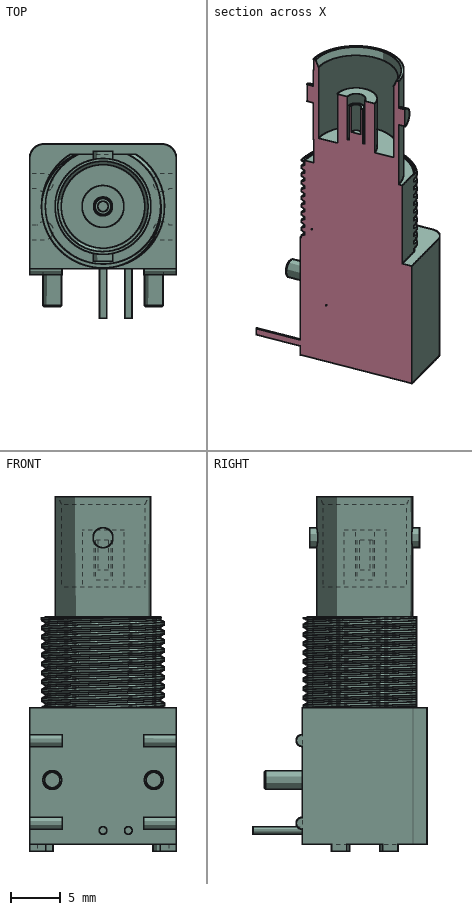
import cadquery as cq
import math


overall_depth = 17.46

housing_width = 14.7
housing_depth = 12.52
housing_height = 13.7
housing_corner_radius = 1.45
front_y = -housing_depth / 2

thread_length = 9.1
thread_core_radius = 5.77
thread_outer_radius = 6.16
thread_pitch = 0.9
thread_root_width = 0.7
thread_crest_width = 0.26
thread_root_overlap = 0.1
thread_phase = 0.32
thread_top_relief = 0.1
neck_flat_y = 5.2
neck_top = housing_height + thread_length

barrel_radius = 4.8
barrel_length = 12.0
barrel_top = neck_top + barrel_length
bore_radius = 4.18
bore_depth = 9.0
lead_in_radius = 4.52
lead_in_depth = 0.75

lug_diameter = 2.0
lug_span = 11.0
lug_below_rim = 4.1

insulator_radius = 2.1
insulator_below_rim = 3.3
contact_clearance_radius = 0.95
contact_recess = 1.0
contact_radius = 0.8
contact_hole_radius = 0.52
contact_length = 4.0
contact_hole_depth = 3.0

rib_length = 3.25
rib_radius = 0.6
rib_heights = (2.12, 10.4)

peg_diameter = 1.88
peg_length = 3.8
peg_offset = 5.08
peg_height = 6.45
peg_chamfer = 0.17
pin_diameter = 0.76
pin_pitch = 2.54
pin_height = 1.4
pin_length = overall_depth - housing_depth

foot_height = 0.7
foot_radius = 0.92
foot_arm_width = 1.53
foot_arm_length = 1.64
foot_reach = 2.36
foot_offset_y = 2.42


def cylinder_z(radius, bottom, height):
    return cq.Workplane("XY", origin=(0, 0, bottom)).circle(radius).extrude(height)


def rod_from_front(x, z, diameter, length):
    """Round rod standing out of the front face along -Y."""
    face = cq.Workplane("XZ", origin=(x, front_y, z))
    return face.circle(diameter / 2).extrude(length)


def make_housing():
    block = cq.Workplane("XY").rect(housing_width, housing_depth).extrude(housing_height)
    return block.edges("|Z and >Y").fillet(housing_corner_radius)


def make_thread_ridge():
    """Right-hand helical ridge, overrunning the neck at both ends."""
    start_z = housing_height + thread_phase - thread_pitch
    overrun_turns = 2
    turns = math.ceil(thread_length / thread_pitch) + overrun_turns
    helix = cq.Wire.makeHelix(thread_pitch, turns * thread_pitch, thread_core_radius)
    flank_run = (thread_root_width - thread_crest_width) / 2
    flank_slope = flank_run / (thread_outer_radius - thread_core_radius)
    buried_x = thread_core_radius - thread_root_overlap
    buried_half = thread_root_width / 2 + thread_root_overlap * flank_slope
    profile = cq.Workplane("XZ").polyline([
        (buried_x, -buried_half),
        (thread_outer_radius, -thread_crest_width / 2),
        (thread_outer_radius, thread_crest_width / 2),
        (buried_x, buried_half),
    ]).close()
    ridge = profile.sweep(cq.Workplane(helix), isFrenet=True)
    return ridge.translate((0, 0, start_z))


def flatted_block(height):
    """Block that bounds the neck: its +Y face is the flat and its other sides are clear of the thread."""
    size = 4 * thread_outer_radius
    block = cq.Workplane("XY", origin=(0, neck_flat_y - size / 2, housing_height))
    return block.rect(size, size).extrude(height)


def make_neck():
    """Flatted core with the thread stopping just short of its top face."""
    core = cylinder_z(thread_core_radius, housing_height, thread_length)
    core = core.intersect(flatted_block(thread_length))
    ridge = make_thread_ridge().intersect(flatted_block(thread_length - thread_top_relief))
    return core.union(ridge, clean=False)


def make_lugs():
    blank = cq.Workplane("XZ", origin=(0, 0, barrel_top - lug_below_rim))
    return blank.circle(lug_diameter / 2).extrude(lug_span / 2, both=True)


def make_bore():
    floor = barrel_top - bore_depth
    profile = cq.Workplane("XZ").polyline([
        (0, floor),
        (bore_radius, floor),
        (bore_radius, barrel_top - lead_in_depth),
        (lead_in_radius, barrel_top),
        (0, barrel_top),
    ]).close()
    return profile.revolve(360, (0, 0, 0), (0, 1, 0))


def make_insulator():
    """Insulator post with the hollow contact recessed in its bore."""
    top = barrel_top - insulator_below_rim
    contact_top = top - contact_recess
    contact_bottom = contact_top - contact_length
    floor = barrel_top - bore_depth
    post = cylinder_z(insulator_radius, floor, top - floor)
    clearance = cylinder_z(contact_clearance_radius, contact_bottom, top - contact_bottom)
    contact = cylinder_z(contact_radius, contact_bottom, contact_length)
    contact_hole = cylinder_z(contact_hole_radius, contact_top - contact_hole_depth, contact_hole_depth)
    return post.cut(clearance).union(contact).cut(contact_hole)


def make_rib(side, z):
    """Half-round rib running inwards from one side of the front face."""
    outer_x = side * housing_width / 2
    rib = cq.Workplane("YZ", origin=(outer_x, front_y, z)).circle(rib_radius)
    return rib.extrude(-side * rib_length)


def make_peg(side):
    peg = rod_from_front(side * peg_offset, peg_height, peg_diameter, peg_length)
    return peg.faces("<Y").chamfer(peg_chamfer)


def make_foot(side_x, side_y):
    """Round pad with a narrower arm out to the side wall, flush with the pad's outer edge."""
    pad_x = side_x * (housing_width / 2 - foot_reach + foot_radius)
    arm_x = side_x * (housing_width - foot_arm_length) / 2
    pad_y = side_y * foot_offset_y
    arm_y = pad_y + side_y * (foot_radius - foot_arm_width / 2)
    pad = cq.Workplane("XY").center(pad_x, pad_y).circle(foot_radius).extrude(-foot_height)
    arm = cq.Workplane("XY").center(arm_x, arm_y).rect(foot_arm_length, foot_arm_width)
    arm = arm.extrude(-foot_height)
    return pad.union(arm)


barrel = cylinder_z(barrel_radius, neck_top, barrel_length)
result = make_housing().union(make_neck()).union(barrel).union(make_lugs())
result = result.cut(make_bore()).union(make_insulator())

for side in (-1, 1):
    result = result.union(make_peg(side))
    for rib_height in rib_heights:
        result = result.union(make_rib(side, rib_height))
    for end in (-1, 1):
        result = result.union(make_foot(side, end))

for pin_x in (0, pin_pitch):
    result = result.union(rod_from_front(pin_x, pin_height, pin_diameter, pin_length))